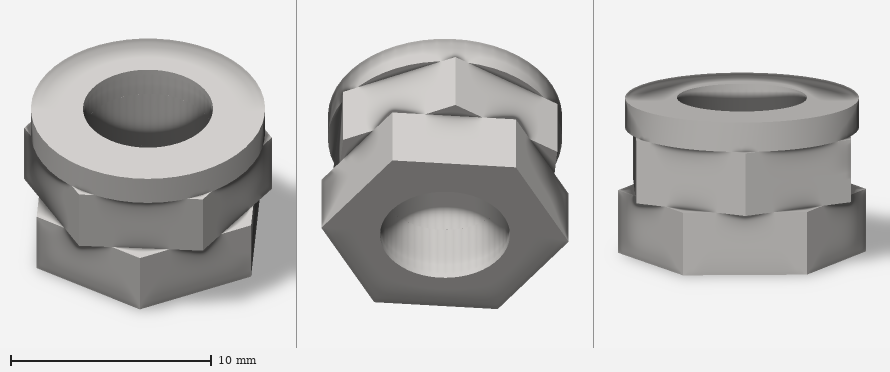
import cadquery as cq

across_corners = 12.4
nut_height = 3.2
washer_diameter = 11.7
washer_height = 1.5
bore_diameter = 6.5

nut_turns = [0, 30]


def make_nut(base_z, turn):
    """Plain hexagonal nut standing on base_z."""
    return (
        cq.Workplane("XY")
        .polygon(6, across_corners)
        .circle(bore_diameter / 2)
        .extrude(nut_height)
        .rotate((0, 0, 0), (0, 0, 1), turn)
        .translate((0, 0, base_z))
    )


def make_washer(base_z):
    """Flat round washer resting on base_z."""
    return (
        cq.Workplane("XY", origin=(0, 0, base_z))
        .circle(washer_diameter / 2)
        .circle(bore_diameter / 2)
        .extrude(washer_height)
    )


nuts = [make_nut(level * nut_height, turn) for level, turn in enumerate(nut_turns)]
washer = make_washer(len(nut_turns) * nut_height)

result = cq.Compound.makeCompound([*[nut.val() for nut in nuts], washer.val()])